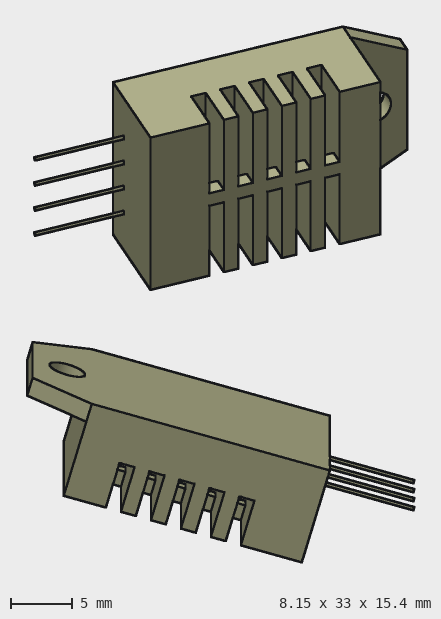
import cadquery as cq

length = 32.95
housing_depth = 8.15
housing_height = 15.45
tab_length = 5.0
pin_length = 7.78
housing_length = length - tab_length - pin_length

tab_thickness = 1.58
tab_end_height = 10.1
hole_diameter = 3.0
hole_to_tab_end = 2.93

pin_diameter = 0.3
pin_pitch = 2.55
pin_count = 4
pin_from_back = 2.3
pin_row_drop = 0.1

slot_count = 5
slot_pitch = pin_pitch
slot_width = slot_pitch / 2
slot_depth = 3.95
first_slot_from_pin_end = 5.17
rib_thickness = 1.32
rib_height = slot_width

housing_top_y = housing_length
tab_end_y = housing_top_y + tab_length


def make_housing():
    return cq.Workplane("XY").box(
        housing_depth, housing_length, housing_height, centered=(False, False, True)
    )


def make_tab():
    root = housing_height / 2
    end = tab_end_height / 2
    outline = [
        (housing_top_y, -root),
        (tab_end_y, -end),
        (tab_end_y, end),
        (housing_top_y, root),
    ]
    plate = cq.Workplane("YZ").polyline(outline).close().extrude(tab_thickness)
    hole = (
        cq.Workplane("YZ")
        .center(tab_end_y - hole_to_tab_end, 0)
        .circle(hole_diameter / 2)
        .extrude(tab_thickness)
    )
    return plate.cut(hole)


def make_slots():
    slots = cq.Workplane("XY")
    for index in range(slot_count):
        slot_start = first_slot_from_pin_end + index * slot_pitch
        slot = cq.Workplane("XY").box(
            slot_depth, slot_width, housing_height, centered=(False, False, True)
        )
        slots = slots.add(slot.translate((housing_depth - slot_depth, slot_start, 0)))
    return slots.combine()


def make_rib():
    slots_span = (slot_count - 1) * slot_pitch + slot_width
    rib = cq.Workplane("XY").box(
        rib_thickness, slots_span, rib_height, centered=(False, False, True)
    )
    return rib.translate((housing_depth - rib_thickness, first_slot_from_pin_end, 0))


def make_pins():
    row_span = (pin_count - 1) * pin_pitch
    centres = [
        (pin_from_back, index * pin_pitch - row_span / 2 - pin_row_drop)
        for index in range(pin_count)
    ]
    return cq.Workplane("XZ").pushPoints(centres).circle(pin_diameter / 2).extrude(pin_length)


vents = make_slots().cut(make_rib())
result = make_housing().union(make_tab()).cut(vents).union(make_pins())